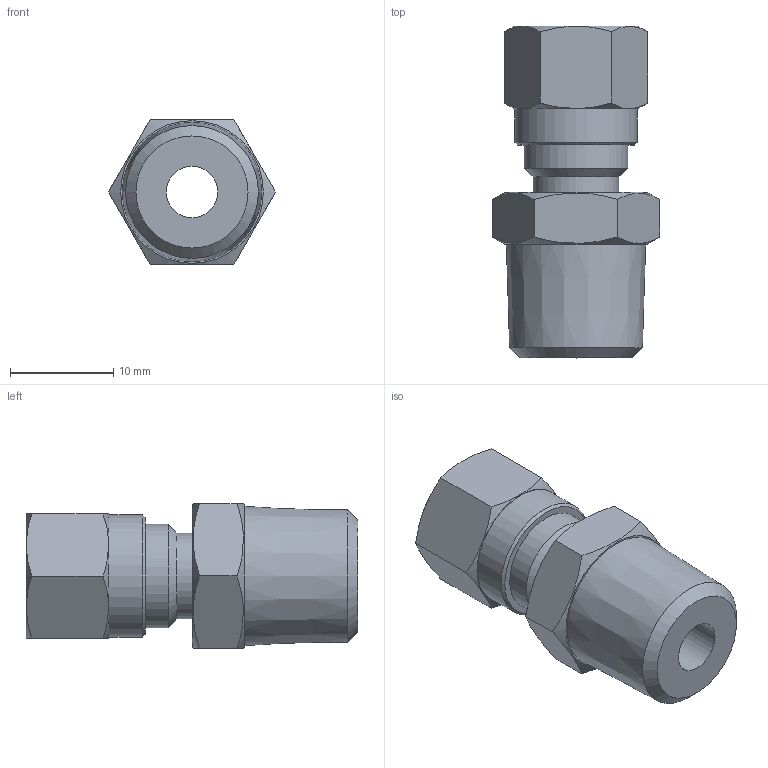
import cadquery as cq
import math

overall_length = 32.09
bore_diameter = 5.0

thread_length = 11.0
thread_gauge_diameter = 13.157
thread_gauge_length = 6.0
thread_taper = 1 / 16
thread_chamfer = 1.0

body_hex_width = 14.0
body_hex_length = 5.0
body_hex_face_diameter = 13.8

neck_diameter = 8.3
neck_length = 1.5
stud_diameter = 10.0

nut_hex_width = 12.0
nut_hex_length = 8.0
nut_hex_face_diameter = 11.95
collar_diameter = 11.85
collar_length = 3.5
collar_chamfer = 0.25

hex_chamfer_angle = math.radians(30)

thread_end = -overall_length / 2
body_hex_start = thread_end + thread_length
body_hex_end = body_hex_start + body_hex_length
nut_end = overall_length / 2
nut_hex_start = nut_end - nut_hex_length
collar_start = nut_hex_start - collar_length


def revolve_profile(points):
    """Revolve a closed outline of (radius, y) points about the Y axis."""
    return cq.Workplane("XY").polyline(points).close().revolve(360, (0, 0), (0, 1))


def thread_radius(distance):
    """Radius of the thread cone at a distance from the thread end face."""
    diameter = thread_gauge_diameter + thread_taper * (distance - thread_gauge_length)
    return diameter / 2


def chamfered_hexagon(width, start, length, face_diameter):
    """Hexagonal prism with corners on the X axis and conical chamfers on both ends."""
    end = start + length
    corner_radius = width / math.sqrt(3)
    face_radius = face_diameter / 2
    chamfer_depth = (corner_radius - face_radius) * math.tan(hex_chamfer_angle)
    prism = (
        cq.Workplane("XZ", origin=(0, end, 0))
        .polygon(6, 2 * corner_radius)
        .extrude(length)
    )
    envelope = revolve_profile([
        (0, start),
        (face_radius, start),
        (corner_radius, start + chamfer_depth),
        (corner_radius, end - chamfer_depth),
        (face_radius, end),
        (0, end),
    ])
    return prism.intersect(envelope)


def tapered_thread():
    return revolve_profile([
        (0, thread_end),
        (thread_radius(thread_chamfer) - thread_chamfer, thread_end),
        (thread_radius(thread_chamfer), thread_end + thread_chamfer),
        (thread_radius(thread_length), body_hex_start),
        (0, body_hex_start),
    ])


def neck_and_stud():
    neck_radius = neck_diameter / 2
    stud_radius = stud_diameter / 2
    neck_end = body_hex_end + neck_length
    return revolve_profile([
        (0, body_hex_end),
        (neck_radius, body_hex_end),
        (neck_radius, neck_end),
        (stud_radius, neck_end + stud_radius - neck_radius),
        (stud_radius, collar_start),
        (0, collar_start),
    ])


def nut_collar():
    collar_radius = collar_diameter / 2
    return revolve_profile([
        (0, collar_start),
        (collar_radius - collar_chamfer, collar_start),
        (collar_radius, collar_start + collar_chamfer),
        (collar_radius, nut_hex_start),
        (0, nut_hex_start),
    ])


def through_bore():
    return (
        cq.Workplane("XZ", origin=(0, nut_end, 0))
        .circle(bore_diameter / 2)
        .extrude(overall_length)
    )


body_hexagon = chamfered_hexagon(
    body_hex_width, body_hex_start, body_hex_length, body_hex_face_diameter
)
nut_hexagon = chamfered_hexagon(
    nut_hex_width, nut_hex_start, nut_hex_length, nut_hex_face_diameter
)

result = (
    tapered_thread()
    .union(body_hexagon)
    .union(neck_and_stud())
    .union(nut_collar())
    .union(nut_hexagon)
    .cut(through_bore())
)